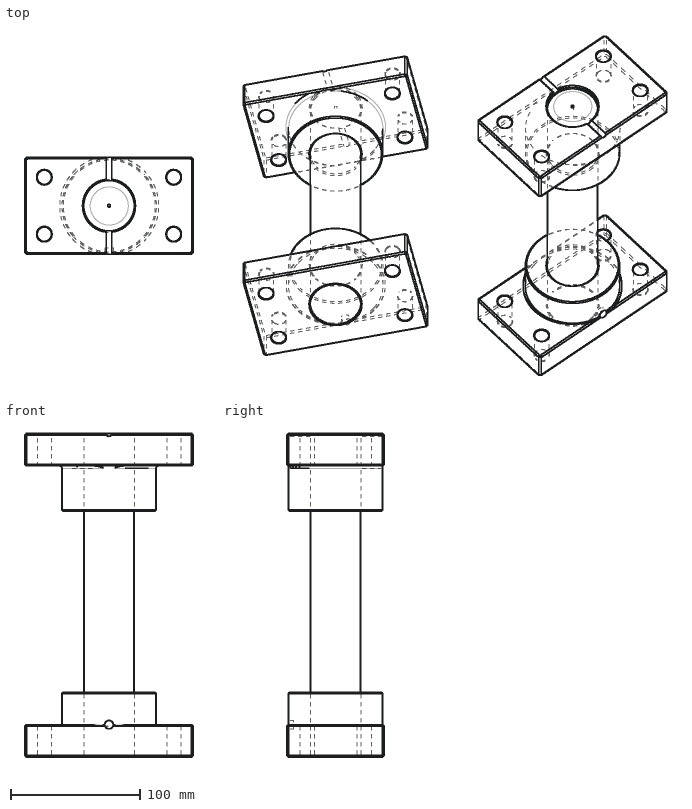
import cadquery as cq
import math

TOTAL_HEIGHT = 250.0
PLATE_LENGTH = 130.0
PLATE_WIDTH = 75.0
PLATE_THICKNESS = 25.0
PLATE_CHAMFER = 1.2
CORNER_CHAMFER = 1.5

COLLAR_RADIUS = 36.5
COLLAR_CHAMFER = 1.0
UPPER_FOOT_FILLET = 2.0
LOWER_RELIEF_RADIUS = 38.2
LOWER_RELIEF_DEPTH = 1.0
LOWER_COLLAR_HEIGHT = 25.0
UPPER_COLLAR_HEIGHT = 35.0

COLUMN_RADIUS = 19.5
COLUMN_TOP_ROUND = 4.8
CENTRE_HOLE_RADIUS = 1.0
CENTRE_HOLE_DEPTH = 2.5
BORE_CHAMFER = 1.0

SCREW_HOLE_RADIUS = 5.5
SCREW_HOLE_CHAMFER = 0.5
SCREW_SPACING_X = 100.0
SCREW_SPACING_Y = 44.0

GROOVE_RADIUS = 2.2
CROSS_HOLE_RADIUS = 3.2
CROSS_HOLE_DEPTH = 5.0


def make_plate():
    """Block with chamfered corners and rims, resting on Z = 0."""
    return (
        cq.Workplane("XY")
        .box(PLATE_LENGTH, PLATE_WIDTH, PLATE_THICKNESS, centered=(True, True, False))
        .edges("|Z")
        .chamfer(CORNER_CHAMFER)
        .faces("<Z or >Z")
        .chamfer(PLATE_CHAMFER)
    )


def make_collar(height):
    """Round collar rooted at mid plate, rising the given height above the plate."""
    root_z = PLATE_THICKNESS / 2
    return (
        cq.Workplane("XY", origin=(0, 0, root_z))
        .circle(COLLAR_RADIUS)
        .extrude(PLATE_THICKNESS + height - root_z)
        .faces(">Z")
        .chamfer(COLLAR_CHAMFER)
    )


def make_upper_foot():
    """Concave foot around the upper collar, trimmed to the flat face of the plate."""
    root_z = PLATE_THICKNESS / 2
    foot_radius = COLLAR_RADIUS + UPPER_FOOT_FILLET
    foot_top = PLATE_THICKNESS + UPPER_FOOT_FILLET
    arc_sag = UPPER_FOOT_FILLET * (1 - math.sqrt(0.5))
    foot = (
        cq.Workplane("XZ")
        .moveTo(COLUMN_RADIUS + BORE_CHAMFER, root_z)
        .lineTo(foot_radius, root_z)
        .lineTo(foot_radius, PLATE_THICKNESS)
        .threePointArc((COLLAR_RADIUS + arc_sag, PLATE_THICKNESS + arc_sag), (COLLAR_RADIUS, foot_top))
        .lineTo(COLUMN_RADIUS + BORE_CHAMFER, foot_top)
        .close()
        .revolve(360, (0, 0, 0), (0, 1, 0))
    )
    flat_width = PLATE_WIDTH - 2 * PLATE_CHAMFER
    flat = cq.Workplane("XY").box(PLATE_LENGTH, flat_width, 2 * foot_top)
    return foot.intersect(flat)


def make_round_cutter(radius, length, chamfer):
    """Drill from Z = 0 to the given length that also chamfers the rim at each end."""
    rim_radius = radius + chamfer
    return (
        cq.Workplane("XZ")
        .polyline([
            (0, 0),
            (rim_radius, 0),
            (radius, chamfer),
            (radius, length - chamfer),
            (rim_radius, length),
            (0, length),
        ])
        .close()
        .revolve(360, (0, 0, 0), (0, 1, 0))
    )


def make_flange(collar_height):
    """Plate and collar in one piece, with the column bore and four screw holes."""
    flange = make_plate().union(make_collar(collar_height))
    flange = flange.cut(make_round_cutter(COLUMN_RADIUS, PLATE_THICKNESS + collar_height, BORE_CHAMFER))
    screw_cutter = make_round_cutter(SCREW_HOLE_RADIUS, PLATE_THICKNESS, SCREW_HOLE_CHAMFER)
    for side_x in (-1, 1):
        for side_y in (-1, 1):
            place = (side_x * SCREW_SPACING_X / 2, side_y * SCREW_SPACING_Y / 2, 0)
            flange = flange.cut(screw_cutter.translate(place))
    return flange


def make_lower_flange():
    """Upright flange, with a shallow relief ring and a blind cross hole at the collar foot."""
    relief = (
        cq.Workplane("XY", origin=(0, 0, PLATE_THICKNESS))
        .circle(LOWER_RELIEF_RADIUS)
        .circle(COLLAR_RADIUS)
        .extrude(-LOWER_RELIEF_DEPTH)
    )
    cross_hole = (
        cq.Workplane("XZ", origin=(0, -PLATE_WIDTH / 2, PLATE_THICKNESS))
        .circle(CROSS_HOLE_RADIUS)
        .extrude(-CROSS_HOLE_DEPTH)
    )
    return make_flange(LOWER_COLLAR_HEIGHT).cut(relief).cut(cross_hole)


def make_upper_flange():
    """Flange turned over, with a concave foot at its collar and a groove across the top of its plate."""
    groove = (
        cq.Workplane("XZ", origin=(0, 0, TOTAL_HEIGHT))
        .moveTo(-GROOVE_RADIUS, 0)
        .threePointArc((0, -GROOVE_RADIUS), (GROOVE_RADIUS, 0))
        .close()
        .extrude(PLATE_WIDTH / 2, both=True)
    )
    return (
        make_flange(UPPER_COLLAR_HEIGHT)
        .union(make_upper_foot())
        .rotate((0, 0, 0), (1, 0, 0), 180)
        .translate((0, 0, TOTAL_HEIGHT))
        .cut(groove)
    )


def make_column():
    """Round column through both flanges, with a rounded top rim and a small centre hole."""
    return (
        cq.Workplane("XY")
        .circle(COLUMN_RADIUS)
        .extrude(TOTAL_HEIGHT)
        .faces(">Z")
        .edges()
        .fillet(COLUMN_TOP_ROUND)
        .faces(">Z")
        .workplane()
        .hole(2 * CENTRE_HOLE_RADIUS, CENTRE_HOLE_DEPTH)
    )


lower_flange = make_lower_flange()
upper_flange = make_upper_flange()
column = make_column()

result = cq.Compound.makeCompound([lower_flange.val(), upper_flange.val(), column.val()])